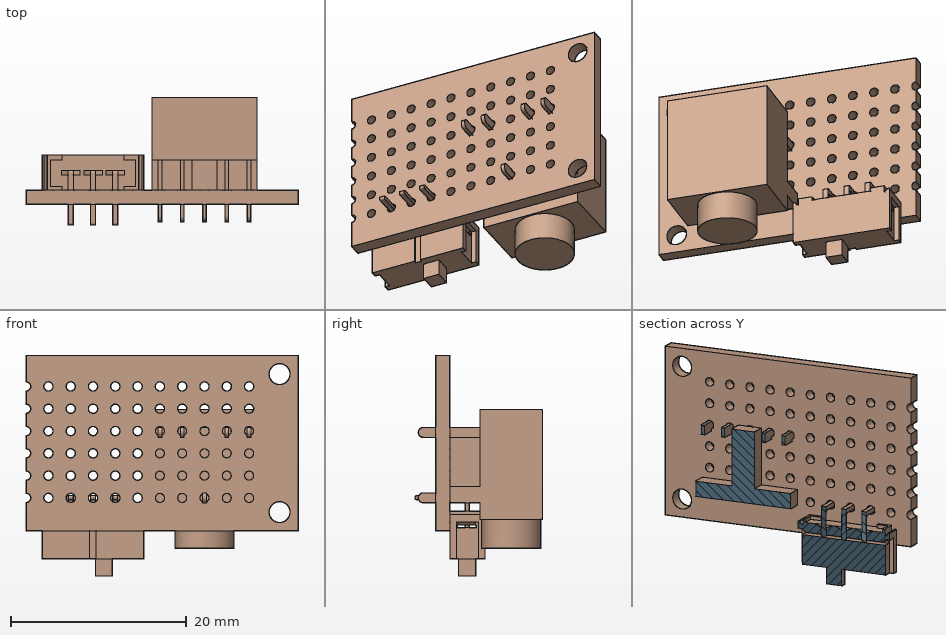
import cadquery as cq


board_length = 31.02
board_height = 20.0
board_thickness = 1.6
hole_columns = 11
hole_rows = 6
last_column_x = 25.4
hole_pitch = last_column_x / (hole_columns - 1)
hole_diameter = 1.02
first_row_z = 3.75
mount_hole_diameter = 2.35
mount_hole_inset = 2.15

lower_pin_column = 8
pot_center_x = lower_pin_column * hole_pitch
pot_width = 12.0
pot_back_y = 12.2
pot_front_y = 5.05
pot_bottom_z = 1.3
pot_height = 12.53
knob_diameter = 6.75
knob_end_z = -2.0
foot_bottom_z = 3.2
foot_height = 1.85
spacer_width = 2.9
spacer_top_z = 11.8
pot_pin_width = 0.43
pot_pin_height = 1.15
pot_pin_tip_y = -2.0
upper_pin_columns = (6, 7, 9, 10)

switch_pin_columns = (2, 3, 4)
switch_center_x = switch_pin_columns[1] * hole_pitch
switch_width = 11.6
switch_depth = 4.03
switch_bottom_z = -3.2
switch_top_z = 2.25
shoulder_z = 1.85
shoulder_width = 0.62
taper_depth = 0.35
flange_top_width = 0.22
flange_base_width = flange_top_width + taper_depth
channel_front_y = 2.35
channel_back_y = 4.87
channel_top_z = 1.02
gap_floor_z = 0.37
gap_roof_z = 0.65
gap_front_y = 2.48
gap_back_y = 4.62
roof_slope_inset = 0.1
pocket_length = 9.7
pocket_wall = 0.43
pocket_back_y = 5.05
pocket_opening = 7.1
funnel_width = 2.1
front_slot_left_x = 7.2
front_slot_width = 0.78
front_slot_depth = 0.35
lever_left_x = 7.88
lever_width = 1.95
lever_front_y = 2.6
lever_back_y = 4.6
lever_end_z = -5.15

switch_pin_width = 0.6
switch_pin_thickness = 0.5
switch_pin_back_y = 3.85
switch_pin_top_z = 4.03
switch_pin_tip_y = -2.35
bend_inner_radius = 0.25
bend_outer_radius = 0.28
tip_edge_radius = 0.22

switch_front_y = board_thickness
switch_back_y = switch_front_y + switch_depth
switch_pin_front_y = switch_pin_back_y - switch_pin_thickness
taper_bottom_z = shoulder_z - taper_depth


def block(x0, x1, y0, y1, z0, z1):
    """Box between two opposite corners."""
    return cq.Workplane("XY").box(x1 - x0, y1 - y0, z1 - z0, centered=False).translate((x0, y0, z0))


def centered_block(center_x, width, y0, y1, z0, z1):
    """Box with its X extent centred on center_x."""
    return block(center_x - width / 2, center_x + width / 2, y0, y1, z0, z1)


def xz_prism(points, y0, y1):
    """Outline in X and Z, extruded from y0 to y1."""
    return cq.Workplane("XZ", origin=(0, y0, 0)).polyline(points).close().extrude(y0 - y1)


def pot_pin(column, bottom_z):
    """Flat potentiometer pin along Y with a half-round tip."""
    tip_radius = pot_pin_height / 2
    arc_start_y = pot_pin_tip_y + tip_radius
    left_x = column * hole_pitch - pot_pin_width / 2
    return (
        cq.Workplane("YZ", origin=(left_x, 0, bottom_z))
        .moveTo(pot_front_y, 0)
        .lineTo(arc_start_y, 0)
        .threePointArc((pot_pin_tip_y, tip_radius), (arc_start_y, pot_pin_height))
        .lineTo(pot_front_y, pot_pin_height)
        .close()
        .extrude(pot_pin_width)
    )


def make_pot_pins():
    """Four pins level with the spacer top and one level with the foot bottom."""
    pins = [pot_pin(column, spacer_top_z - pot_pin_height) for column in upper_pin_columns]
    pins.append(pot_pin(lower_pin_column, foot_bottom_z))
    return pins


def make_board():
    """Perforated board; the first column of holes is cut in half by the edge."""
    board = block(0, board_length, 0, board_thickness, 0, board_height)
    grid = [
        (column * hole_pitch, first_row_z + row * hole_pitch)
        for column in range(hole_columns)
        for row in range(hole_rows)
    ]
    mount_x = board_length - mount_hole_inset
    mounts = [(mount_x, mount_hole_inset), (mount_x, board_height - mount_hole_inset)]
    for centers, diameter in ((grid, hole_diameter), (mounts, mount_hole_diameter)):
        holes = cq.Workplane("XZ").pushPoints(centers).circle(diameter / 2).extrude(-board_thickness)
        board = board.cut(holes)
    for pin in make_pot_pins():
        board = board.cut(pin)
    return board


def make_potentiometer():
    """Body with knob, foot, spacer and pins as one solid."""
    body = centered_block(
        pot_center_x, pot_width, pot_front_y, pot_back_y, pot_bottom_z, pot_bottom_z + pot_height
    )
    knob_center_y = (pot_front_y + pot_back_y) / 2
    knob = (
        cq.Workplane("XY", origin=(pot_center_x, knob_center_y, knob_end_z))
        .circle(knob_diameter / 2)
        .extrude(pot_bottom_z - knob_end_z)
    )
    foot_top_z = foot_bottom_z + foot_height
    foot = centered_block(
        pot_center_x, pot_width, board_thickness, pot_front_y, foot_bottom_z, foot_top_z
    )
    spacer = centered_block(
        pot_center_x, spacer_width, board_thickness, pot_front_y, foot_top_z, spacer_top_z
    )
    potentiometer = body.union(knob).union(foot).union(spacer)
    for pin in make_pot_pins():
        potentiometer = potentiometer.union(pin)
    return potentiometer


def make_switch_pin(column):
    """Pin bent from the vertical leg in the housing to the horizontal run through the board."""
    left_x = column * hole_pitch - switch_pin_width / 2
    outer = block(
        left_x, left_x + switch_pin_width,
        switch_pin_tip_y, switch_pin_back_y,
        gap_floor_z, switch_pin_top_z,
    ).edges("|X and >Y and >Z").fillet(bend_outer_radius)
    inner = block(
        left_x, left_x + switch_pin_width,
        switch_pin_tip_y, switch_pin_front_y,
        gap_floor_z, switch_pin_top_z - switch_pin_thickness,
    ).edges("|X and >Y and >Z").fillet(bend_inner_radius)
    return outer.cut(inner).edges("|X and <Y").fillet(tip_edge_radius)


def cut_left_end(housing):
    """Shoulder, V groove, side channel and sloped gap mouth at the -X end."""
    left_x = switch_center_x - switch_width / 2
    core_x = left_x + shoulder_width
    channel_x = left_x + flange_base_width
    shoulder = block(left_x, core_x, switch_front_y, switch_back_y, shoulder_z, switch_top_z)
    groove = xz_prism(
        [
            (left_x + flange_top_width, shoulder_z),
            (core_x, shoulder_z),
            (core_x, taper_bottom_z),
            (channel_x, taper_bottom_z),
        ],
        switch_front_y, switch_back_y,
    )
    channel = block(
        left_x, channel_x, channel_front_y, channel_back_y, switch_bottom_z, channel_top_z
    )
    gap_mouth = xz_prism(
        [
            (channel_x, gap_roof_z),
            (channel_x, channel_top_z),
            (channel_x + channel_top_z - gap_roof_z, gap_roof_z),
        ],
        gap_front_y + roof_slope_inset, gap_back_y - roof_slope_inset,
    )
    return housing.cut(shoulder).cut(groove).cut(channel).cut(gap_mouth)


def make_switch_housing():
    """Housing with the lever as one solid."""
    housing = centered_block(
        switch_center_x, switch_width, switch_front_y, switch_back_y, switch_bottom_z, switch_top_z
    )
    mirror_base = (switch_center_x, 0, 0)
    housing = cut_left_end(housing).mirror("YZ", mirror_base)
    housing = cut_left_end(housing)

    pocket = centered_block(
        switch_center_x, pocket_length,
        switch_front_y + pocket_wall, pocket_back_y,
        shoulder_z, switch_top_z,
    )
    opening = centered_block(
        switch_center_x, pocket_opening, switch_front_y, switch_back_y, shoulder_z, switch_top_z
    )
    gap = centered_block(
        switch_center_x, switch_width, gap_front_y, gap_back_y, gap_floor_z, gap_roof_z
    )
    housing = housing.cut(pocket).cut(opening).cut(gap)

    for column in switch_pin_columns:
        x = column * hole_pitch
        funnel = xz_prism(
            [
                (x - funnel_width / 2, shoulder_z),
                (x + funnel_width / 2, shoulder_z),
                (x + switch_pin_width / 2, taper_bottom_z),
                (x - switch_pin_width / 2, taper_bottom_z),
            ],
            switch_pin_front_y, switch_pin_back_y,
        )
        pin_hole = centered_block(
            x, switch_pin_width, switch_pin_front_y, switch_pin_back_y, gap_roof_z, taper_bottom_z
        )
        housing = housing.cut(funnel).cut(pin_hole)

    front_slot = block(
        front_slot_left_x, front_slot_left_x + front_slot_width,
        switch_front_y, switch_front_y + front_slot_depth,
        switch_bottom_z, channel_top_z,
    )
    lever = block(
        lever_left_x, lever_left_x + lever_width,
        lever_front_y, lever_back_y,
        lever_end_z, switch_bottom_z,
    )
    return housing.cut(front_slot).union(lever)


board = make_board()
potentiometer = make_potentiometer()
switch_housing = make_switch_housing()
switch_pins = [make_switch_pin(column) for column in switch_pin_columns]

result = cq.Compound.makeCompound(
    [board.val(), potentiometer.val(), switch_housing.val(), *[pin.val() for pin in switch_pins]]
)